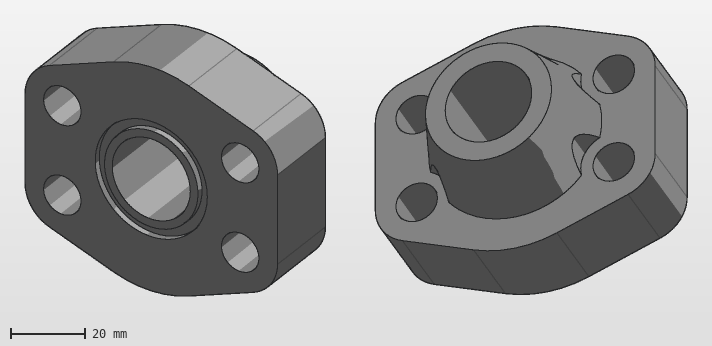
import cadquery as cq
import math

length = 81.0
height = 69.8
plate_thickness = 24.0
total_depth = 44.0
neck_length = total_depth - plate_thickness

hole_x = 28.5
hole_z = 13.9
hole_diameter = 12.0
corner_radius = length / 2 - hole_x
crown_radius = height / 2
relief_radius = 9.55

bore_diameter = 25.0
groove_outer_diameter = 36.0
groove_inner_diameter = 30.0
groove_depth = 2.0

neck_base_radius = 25.0
neck_tip_radius = 18.2
neck_concavity = 0.5

bolt_points = [(sx * hole_x, sz * hole_z) for sx in (-1, 1) for sz in (-1, 1)]


def xz_plane(y):
    """Sketch plane at height y: local x is X, local y is Z, extrusion goes toward -Y."""
    return cq.Workplane("XZ", origin=(0, y, 0))


def cylinder(points, diameter, y_start, y_end):
    """Cylinders along Y between y_start and y_end."""
    return xz_plane(y_end).pushPoints(points).circle(diameter / 2).extrude(y_end - y_start)


def make_plate():
    """Plate outlined by crown arcs, corner arcs and their common tangents."""
    spacing = math.hypot(hole_x, hole_z)
    normal = math.atan2(hole_z, hole_x) + math.acos((crown_radius - corner_radius) / spacing)
    nx = math.cos(normal)
    nz = math.sin(normal)
    crown_x = crown_radius * nx
    crown_z = crown_radius * nz
    corner_x = hole_x + corner_radius * nx
    corner_z = hole_z + corner_radius * nz
    corner_mid_x = hole_x + corner_radius * math.cos(normal / 2)
    corner_mid_z = hole_z + corner_radius * math.sin(normal / 2)
    side_x = length / 2
    return (
        xz_plane(plate_thickness)
        .moveTo(-crown_x, crown_z)
        .threePointArc((0, crown_radius), (crown_x, crown_z))
        .lineTo(corner_x, corner_z)
        .threePointArc((corner_mid_x, corner_mid_z), (side_x, hole_z))
        .lineTo(side_x, -hole_z)
        .threePointArc((corner_mid_x, -corner_mid_z), (corner_x, -corner_z))
        .lineTo(crown_x, -crown_z)
        .threePointArc((0, -crown_radius), (-crown_x, -crown_z))
        .lineTo(-corner_x, -corner_z)
        .threePointArc((-corner_mid_x, -corner_mid_z), (-side_x, -hole_z))
        .lineTo(-side_x, hole_z)
        .threePointArc((-corner_mid_x, corner_mid_z), (-corner_x, corner_z))
        .close()
        .extrude(plate_thickness)
    )


def make_neck():
    """Lofted neck with reliefs that clear the bolt heads."""
    middle_radius = (neck_base_radius + neck_tip_radius) / 2
    half_step = -neck_length / 2
    neck = (
        xz_plane(plate_thickness)
        .ellipse(neck_base_radius, neck_base_radius)
        .workplane(offset=half_step)
        .ellipse(middle_radius, middle_radius - neck_concavity)
        .workplane(offset=half_step)
        .ellipse(neck_tip_radius, neck_tip_radius)
        .loft(combine=True)
    )
    return neck.cut(cylinder(bolt_points, 2 * relief_radius, plate_thickness, total_depth))


def make_groove():
    """Ring-shaped seal groove in the front face."""
    center = [(0, 0)]
    outer = cylinder(center, groove_outer_diameter, 0, groove_depth)
    return outer.cut(cylinder(center, groove_inner_diameter, 0, groove_depth))


result = (
    make_plate()
    .union(make_neck())
    .cut(cylinder(bolt_points, hole_diameter, 0, plate_thickness))
    .cut(cylinder([(0, 0)], bore_diameter, 0, total_depth))
    .cut(make_groove())
)